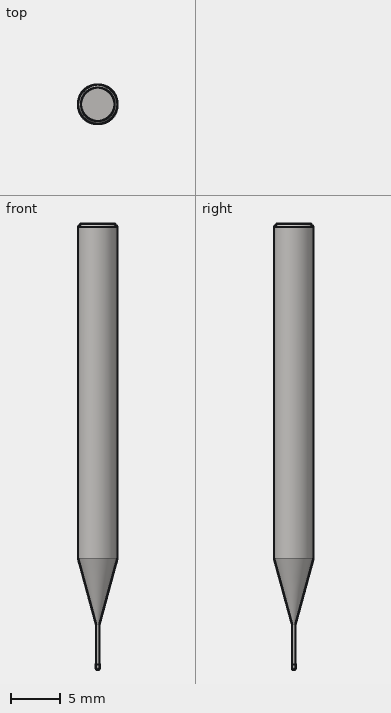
import cadquery as cq

overall_length = 45.0
shank_diameter = 4.0
shank_chamfer = 0.3
taper_top_z = 11.25
taper_bottom_z = 4.6
cutter_diameter = 0.4
neck_diameter = 0.35
cutter_length = 0.55

shank_radius = shank_diameter / 2
cutter_radius = cutter_diameter / 2
neck_radius = neck_diameter / 2


def revolve_profile(profile):
    """Revolve a closed (radius, height) outline around the Z axis."""
    return profile.close().revolve(360, (0, 0), (0, 1))


def make_shank():
    """Round shank with a chamfered top, tapering down to a thin straight neck."""
    return revolve_profile(cq.Workplane("YZ").polyline([
        (0, cutter_length),
        (-neck_radius, cutter_length),
        (-neck_radius, taper_bottom_z),
        (-shank_radius, taper_top_z),
        (-shank_radius, overall_length - shank_chamfer),
        (-(shank_radius - shank_chamfer), overall_length),
        (0, overall_length),
    ]))


def make_cutter():
    """Short ball-nosed cutting head, butted against the end of the neck."""
    return revolve_profile(
        cq.Workplane("YZ")
        .moveTo(0, 0)
        .radiusArc((-cutter_radius, cutter_radius), cutter_radius)
        .lineTo(-cutter_radius, cutter_length)
        .lineTo(0, cutter_length)
    )


shank = make_shank()
cutter = make_cutter()

result = cq.Compound.makeCompound([shank.val(), cutter.val()])